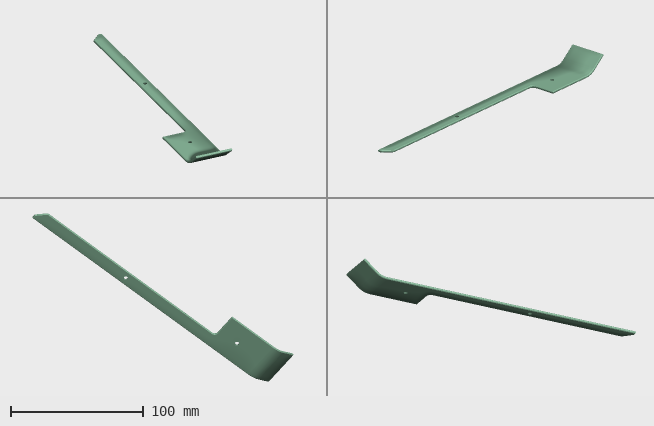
import cadquery as cq
import math

total_length = 229.68
total_height = 13.23
plate_width = 30.0
thickness = 2.0

arm_width = 10.0
arm_length = 169.85
tip_cut = 7.0
step_corner_radius = 3.0

bend_angle = 39.3
bend_inner_radius = 13.0

hole_diameter = 3.2
arm_hole_x = 86.85
hole_spacing = 100.0
edge_chamfer = 0.5

angle = math.radians(bend_angle)
bend_outer_radius = bend_inner_radius + thickness
bend_center_z = bend_outer_radius
flap_start_z = bend_center_z - bend_inner_radius * math.cos(angle)
flap_length = (total_height - flap_start_z) / math.sin(angle) + edge_chamfer
flap_reach = flap_length * math.cos(angle) - edge_chamfer * math.sin(angle)
bend_start_x = total_length - bend_outer_radius * math.sin(angle) - flap_reach


def sheet_point(radius, turn, along=0.0):
    """X and Z of a point on a bend arc, moved by `along` on the tangent there."""
    x = bend_start_x + radius * math.sin(turn) + along * math.cos(turn)
    z = bend_center_z - radius * math.cos(turn) + along * math.sin(turn)
    return (x, z)


def bent_strip():
    """Bent sheet of full plate width, before the plan outline is cut."""
    return (
        cq.Workplane("XZ")
        .moveTo(0, 0)
        .lineTo(bend_start_x, 0)
        .threePointArc(
            sheet_point(bend_outer_radius, angle / 2),
            sheet_point(bend_outer_radius, angle),
        )
        .lineTo(*sheet_point(bend_outer_radius, angle, flap_length))
        .lineTo(*sheet_point(bend_inner_radius, angle, flap_length))
        .lineTo(*sheet_point(bend_inner_radius, angle))
        .threePointArc(
            sheet_point(bend_inner_radius, angle / 2),
            sheet_point(bend_inner_radius, 0),
        )
        .lineTo(0, thickness)
        .close()
        .extrude(plate_width)
    )


def plan_block():
    """Plan outline of arm and plate, as a block that reaches past the flap end."""
    block_length = total_length + thickness
    block_height = total_height + thickness
    return (
        cq.Workplane("XY")
        .moveTo(0, 0)
        .lineTo(block_length, 0)
        .lineTo(block_length, -plate_width)
        .lineTo(arm_length, -plate_width)
        .lineTo(arm_length, -arm_width - step_corner_radius)
        .radiusArc((arm_length - step_corner_radius, -arm_width), -step_corner_radius)
        .lineTo(tip_cut, -arm_width)
        .lineTo(0, -arm_width + tip_cut)
        .close()
        .extrude(block_height)
    )


def rim_edges(solid):
    """Edges around the upper and lower sides of the sheet.

    Each side has a flat, a bend and a flap face. The bend lines, which two of
    these faces share, are left out.
    """
    edges = []
    for radius in (bend_inner_radius, bend_outer_radius):
        face_points = [
            sheet_point(radius, 0, -flap_length / 2),
            sheet_point(radius, angle / 2),
            sheet_point(radius, angle, flap_length / 2),
        ]
        for x, z in face_points:
            probe = cq.Vertex.makeVertex(x, -plate_width / 2, z)
            sheet_face = min(solid.Faces(), key=probe.distance)
            edges.extend(sheet_face.Edges())
    return [edge for edge in edges if sum(edge.isSame(other) for other in edges) == 1]


def holes():
    """Arm hole and plate hole, each on the middle of the width around it."""
    centers = [
        (arm_hole_x, -arm_width / 2),
        (arm_hole_x + hole_spacing, -plate_width / 2),
    ]
    return cq.Workplane("XY").pushPoints(centers).circle(hole_diameter / 2).extrude(thickness)


blank = bent_strip().intersect(plan_block())
chamfered = blank.newObject(rim_edges(blank.val())).chamfer(edge_chamfer)
result = chamfered.cut(holes())